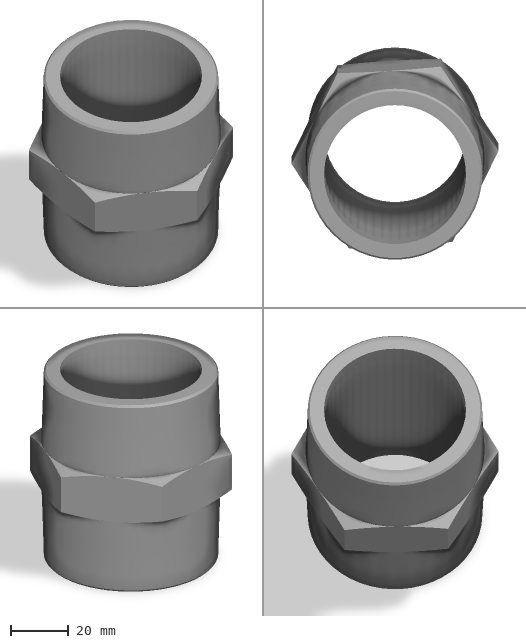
import cadquery as cq
import math

total_length = 71.0
bore_diameter = 49.0

hex_across_flats = 62.0
hex_height = 17.0
hex_across_corners = hex_across_flats / math.cos(math.radians(30))
corner_chamfer_drop = 1.9

neck_length = 1.0
neck_radius = 30.95
end_chamfer_height = 0.8
end_chamfer_width = 0.7
taper_ratio = 1 / 16

half_length = total_length / 2
half_hex = hex_height / 2
taper_start = half_hex + neck_length
taper_end = half_length - end_chamfer_height
taper_end_radius = neck_radius - (taper_end - taper_start) * taper_ratio / 2
end_face_radius = taper_end_radius - end_chamfer_width


def revolve_profile(points):
    """Revolve a closed profile of (radius, height) points about the Z axis."""
    profile = cq.Workplane("XZ").polyline(points).close()
    return profile.revolve(360, (0, 0, 0), (0, 1, 0))


def make_hexagon():
    """Hexagon with flats facing +X and -X and chamfered corners on both faces."""
    prism = (
        cq.Workplane("XY")
        .workplane(offset=-half_hex)
        .polygon(6, hex_across_corners)
        .extrude(hex_height)
        .rotate((0, 0, 0), (0, 0, 1), 30)
    )
    flat_radius = hex_across_flats / 2
    corner_radius = hex_across_corners / 2
    corner_height = half_hex - corner_chamfer_drop
    chamfer_envelope = revolve_profile([
        (0, -half_hex),
        (flat_radius, -half_hex),
        (corner_radius, -corner_height),
        (corner_radius, corner_height),
        (flat_radius, half_hex),
        (0, half_hex),
    ])
    return prism.intersect(chamfer_envelope)


def make_upper_end():
    """Solid upper end: straight neck, taper and chamfered rim."""
    return revolve_profile([
        (0, 0),
        (neck_radius, 0),
        (neck_radius, taper_start),
        (taper_end_radius, taper_end),
        (end_face_radius, half_length),
        (0, half_length),
    ])


def make_bore():
    """Straight through bore."""
    return cq.Workplane("XY").circle(bore_diameter / 2).extrude(half_length, both=True)


upper_end = make_upper_end()
lower_end = upper_end.mirror("XY")
result = make_hexagon().union(upper_end).union(lower_end).cut(make_bore())